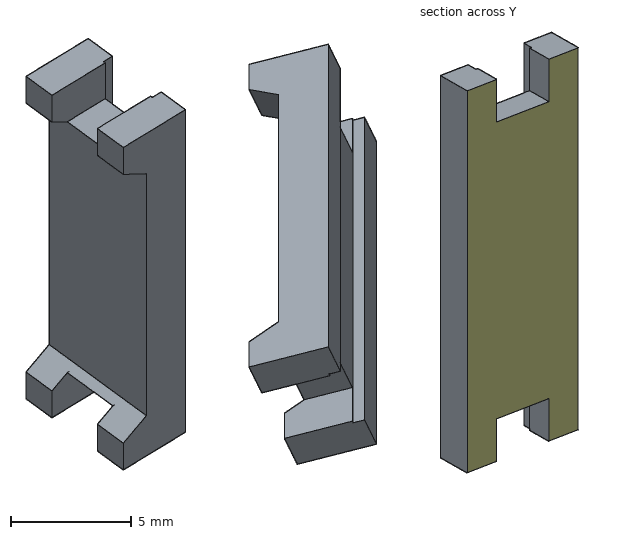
import cadquery as cq
import math

WIDTH = 6.0
DEPTH = 3.5
HEIGHT = 18.0

PLATE_THICKNESS = 2.2
FOOT_TIP_HEIGHT = 1.5
FOOT_SLOPE_ANGLE = 30.0

NOTCH_WIDTH = 2.8
NOTCH_DEPTH = 2.0

GROOVE_WIDTH = 3.0
GROOVE_DEPTH = 0.5

FRONT_Y = -DEPTH / 2
BACK_Y = DEPTH / 2
PLATE_FRONT_Y = BACK_Y - PLATE_THICKNESS
TOP_Z = HEIGHT / 2
TIP_Z = TOP_Z - FOOT_TIP_HEIGHT
FOOT_REACH = DEPTH - PLATE_THICKNESS
SLOPE_END_Z = TIP_Z - FOOT_REACH * math.tan(math.radians(FOOT_SLOPE_ANGLE))


def make_body():
    """C-shaped side profile with sloped feet, extruded across the width."""
    outline = [
        (BACK_Y, -TOP_Z),
        (BACK_Y, TOP_Z),
        (FRONT_Y, TOP_Z),
        (FRONT_Y, TIP_Z),
        (PLATE_FRONT_Y, SLOPE_END_Z),
        (PLATE_FRONT_Y, -SLOPE_END_Z),
        (FRONT_Y, -TIP_Z),
        (FRONT_Y, -TOP_Z),
    ]
    return cq.Workplane("YZ").polyline(outline).close().extrude(WIDTH / 2, both=True)


def make_end_notch(end):
    """Cutter that splits one end into two feet; end is 1 for top, -1 for bottom."""
    centre_z = end * (TOP_Z - NOTCH_DEPTH / 2)
    return cq.Workplane("XY").box(NOTCH_WIDTH, DEPTH, NOTCH_DEPTH).translate((0, 0, centre_z))


def make_back_groove():
    """Cutter for the shallow groove running the full height of the back face."""
    centre_y = BACK_Y - GROOVE_DEPTH / 2
    return cq.Workplane("XY").box(GROOVE_WIDTH, GROOVE_DEPTH, HEIGHT).translate((0, centre_y, 0))


result = make_body().cut(make_back_groove())
for end in (1, -1):
    result = result.cut(make_end_notch(end))